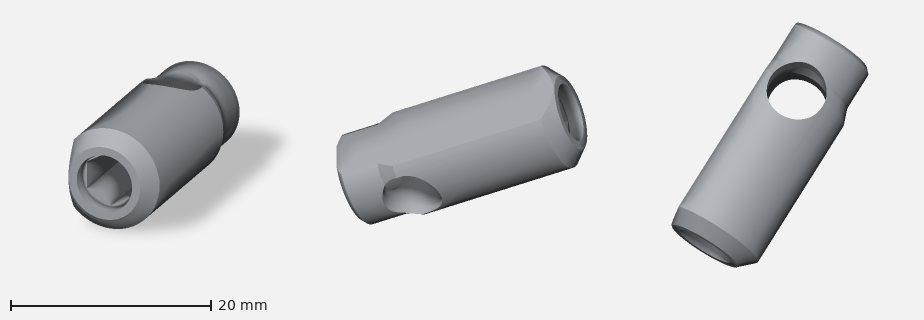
import cadquery as cq
import math

length = 24.0
body_radius = 5.35
flat_offset = 3.95
front_y = -length / 2
back_y = length / 2

front_chamfer = 1.5
neck_radius = 4.73
neck_length = 4.5
taper_length = 1.68
back_chamfer = 0.5

cross_hole_radius = 3.0
cross_hole_y = back_y - 6.5

counterbore_radius = 3.0
counterbore_depth = 1.5
hex_across_flats = 5.05
hex_depth = 9.6
bore_radius = 2.1


def turned_body():
    """Revolve the half profile (radius, y) about the Y axis."""
    taper_back_y = back_y - neck_length
    profile = [
        (0, front_y),
        (body_radius - front_chamfer, front_y),
        (body_radius, front_y + front_chamfer),
        (body_radius, taper_back_y - taper_length),
        (neck_radius, taper_back_y),
        (neck_radius, back_y - back_chamfer),
        (neck_radius - back_chamfer, back_y),
        (0, back_y),
    ]
    return cq.Workplane("XY").polyline(profile).close().revolve(360, (0, 0, 0), (0, 1, 0))


def flat_side_limits():
    """Block keeping everything on the +X side of the flat."""
    block_width = flat_offset + body_radius
    return (
        cq.Workplane("XY")
        .box(block_width, length, 2 * body_radius, centered=(False, True, True))
        .translate((-flat_offset, 0, 0))
    )


def front_plane():
    """Workplane on the front end; extruding by -depth cuts into the part."""
    return cq.Workplane("XZ", origin=(0, front_y, 0))


def hex_socket():
    """Hexagonal socket with corners pointing along Z."""
    corner_diameter = hex_across_flats / math.cos(math.pi / 6)
    socket_depth = counterbore_depth + hex_depth
    return front_plane().transformed(rotate=(0, 0, 90)).polygon(6, corner_diameter).extrude(-socket_depth)


counterbore = front_plane().circle(counterbore_radius).extrude(-counterbore_depth)
through_bore = front_plane().circle(bore_radius).extrude(-length)
cross_hole = (
    cq.Workplane("XY", origin=(0, cross_hole_y, 0))
    .circle(cross_hole_radius)
    .extrude(body_radius, both=True)
)

result = (
    turned_body()
    .intersect(flat_side_limits())
    .cut(counterbore)
    .cut(hex_socket())
    .cut(through_bore)
    .cut(cross_hole)
)